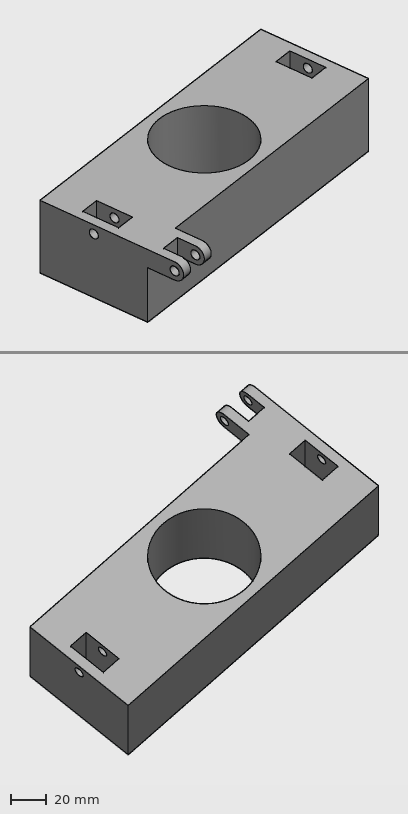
import cadquery as cq

INCH = 25.4
body_width = 3 * INCH
body_length = 8 * INCH
body_height = 2 * INCH
wall = INCH / 4

bore_diameter = 2.5 * INCH

pocket_width = INCH
pocket_length = INCH / 2

pin_diameter = INCH / 4

clevis_reach = INCH
clevis_height = INCH / 2
clevis_slot_width = INCH / 2

center_x = body_width / 2
center_y = body_length / 2
end_x = body_width + clevis_reach
tip_radius = clevis_height / 2
tip_x = end_x - tip_radius
pin_z = body_height - clevis_height / 2
clevis_width = clevis_slot_width + 2 * wall
clevis_slot_x = body_width + wall
pin_socket_depth = pocket_length + 2 * wall


def box(x_min, y_min, z_min, width, length, height):
    """Box given by its lowest corner and its sizes along X, Y and Z."""
    block = cq.Workplane("XY").box(width, length, height, centered=False)
    return block.translate((x_min, y_min, z_min))


def cylinder_along_y(x, y_start, diameter, length):
    """Cylinder at the pin height, running toward +Y from y_start."""
    plane = cq.Plane(origin=(x, y_start, pin_z), xDir=(1, 0, 0), normal=(0, 1, 0))
    return cq.Workplane(plane).circle(diameter / 2).extrude(length)


def clevis():
    """Forked hinge lug with a rounded tip, flush with the top and the -Y end."""
    arm_z = body_height - clevis_height
    arm = box(center_x, 0, arm_z, tip_x - center_x, clevis_width, clevis_height)
    tip = cylinder_along_y(tip_x, 0, clevis_height, clevis_width)
    slot = box(clevis_slot_x, wall, arm_z, end_x - clevis_slot_x, clevis_slot_width, clevis_height)
    pin_hole = cylinder_along_y(tip_x, 0, pin_diameter, clevis_width)
    return arm.union(tip).cut(slot).cut(pin_hole)


def central_bore():
    """Large vertical bore through the middle of the body."""
    bore = cq.Workplane("XY").circle(bore_diameter / 2).extrude(body_height)
    return bore.translate((center_x, center_y, 0))


def end_pocket():
    """Rectangular pocket through the full height, one wall in from the -Y end."""
    return box(center_x - pocket_width / 2, wall, 0, pocket_width, pocket_length, body_height)


def end_pin_socket():
    """Blind pin hole from the -Y end, crossing the pocket and entering its inner wall."""
    return cylinder_along_y(center_x, 0, pin_diameter, pin_socket_depth)


def mirrored_to_far_end(shape):
    """Copy of a shape reflected across the middle of the body length."""
    return shape.mirror("XZ", (0, center_y, 0))


result = box(0, 0, 0, body_width, body_length, body_height)
result = result.union(clevis()).cut(central_bore())
for cutter in (end_pocket(), end_pin_socket()):
    result = result.cut(cutter).cut(mirrored_to_far_end(cutter))